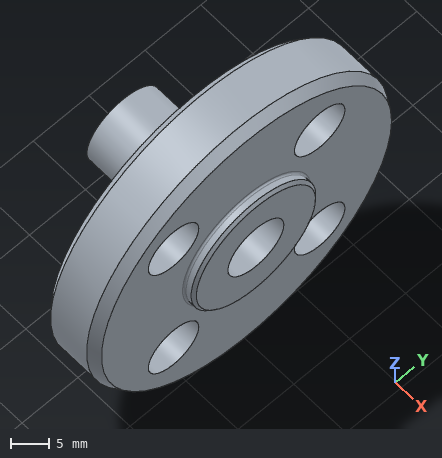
import cadquery as cq
import math

total_length = 25.5
flange_start = 14.0
raised_face_height = 1.8
flange_end = total_length - raised_face_height

flange_diameter = 54.0
neck_diameter = 13.0
bore_diameter = 10.0
raised_face_diameter = 22.3

neck_fillet = 4.0
front_chamfer = 1.0
back_chamfer_depth = 1.0
back_chamfer_angle = 30.0
back_chamfer_length = back_chamfer_depth / math.tan(math.radians(back_chamfer_angle))
raised_face_chamfer = 0.5
raised_face_fillet = 0.3

bolt_count = 4
bolt_hole_diameter = 9.0
bolt_circle_diameter = 37.0
first_bolt_angle = 45.0


def fillet_middle(center_x, center_radius, radius, x_direction):
    """Return the midpoint of a concave fillet whose arc faces the axis."""
    offset = radius * math.sqrt(0.5)
    return (center_x + x_direction * offset, center_radius - offset)


def make_body():
    """Revolve the half section of neck, flange and raised face about X."""
    flange_radius = flange_diameter / 2
    neck_radius = neck_diameter / 2
    face_radius = raised_face_diameter / 2
    neck_fillet_start = flange_start - neck_fillet
    neck_fillet_top = neck_radius + neck_fillet
    face_fillet_end = flange_end + raised_face_fillet
    face_fillet_top = face_radius + raised_face_fillet

    section = (
        cq.Workplane("XY")
        .moveTo(0, 0)
        .lineTo(0, neck_radius)
        .lineTo(neck_fillet_start, neck_radius)
        .threePointArc(
            fillet_middle(neck_fillet_start, neck_fillet_top, neck_fillet, 1),
            (flange_start, neck_fillet_top),
        )
        .lineTo(flange_start, flange_radius - front_chamfer)
        .lineTo(flange_start + front_chamfer, flange_radius)
        .lineTo(flange_end - back_chamfer_length, flange_radius)
        .lineTo(flange_end, flange_radius - back_chamfer_depth)
        .lineTo(flange_end, face_fillet_top)
        .threePointArc(
            fillet_middle(face_fillet_end, face_fillet_top, raised_face_fillet, -1),
            (face_fillet_end, face_radius),
        )
        .lineTo(total_length - raised_face_chamfer, face_radius)
        .lineTo(total_length, face_radius - raised_face_chamfer)
        .lineTo(total_length, 0)
        .close()
    )
    return section.revolve(360, (0, 0, 0), (1, 0, 0))


def make_bore():
    """Central passage through the full length."""
    return cq.Workplane("YZ").circle(bore_diameter / 2).extrude(total_length)


def make_bolt_holes():
    """Evenly spaced through holes, starting beside the neck fillet."""
    return (
        cq.Workplane("YZ", origin=(flange_start, 0, 0))
        .polarArray(bolt_circle_diameter / 2, first_bolt_angle, 360, bolt_count)
        .circle(bolt_hole_diameter / 2)
        .extrude(flange_end - flange_start)
    )


result = make_body().cut(make_bore()).cut(make_bolt_holes())